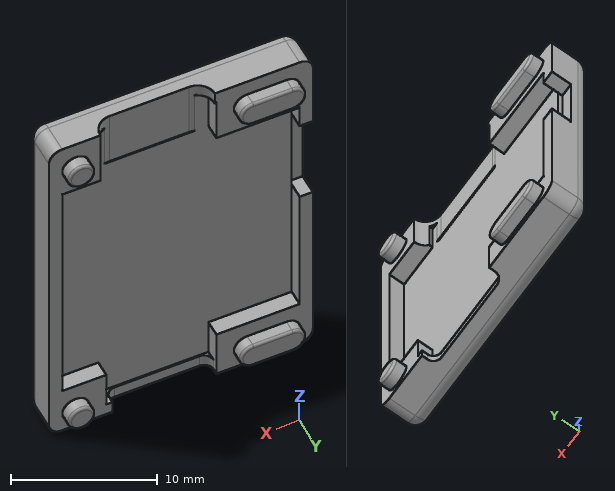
import cadquery as cq

WIDTH = 20.0
HEIGHT = 28.95
BODY_DEPTH = 3.18
EDGE_RADIUS = 1.0

WALL = 1.0
POCKET_DEPTH = 1.25

PEG_DIAMETER = 2.0
PEG_HEIGHT = 1.0
PEG_TIP_ROUND = 0.2
LONG_PEG_LENGTH = 4.98
PEG_EDGE_GAP = 1.0
UPPER_PEG_Z = 12.15
LOWER_PEG_Z = -12.73
POST_MARGIN = 1.33

CONNECTOR_X = 1.77
CONNECTOR_WIDTH = 8.65
CONNECTOR_DEPTH = 1.3

BOTTOM_OPENING_RIGHT = 5.18
BOTTOM_OPENING_DEPTH = 1.15
BOTTOM_OPENING_ROUND = 0.7

SIDE_OPENING_Z_MIN = 0.65
SIDE_OPENING_Z_MAX = 7.9
SIDE_OPENING_DEPTH = 1.6

HALF_WIDTH = WIDTH / 2
HALF_HEIGHT = HEIGHT / 2
LONG_PEG_X = (-HALF_WIDTH + PEG_EDGE_GAP, -HALF_WIDTH + PEG_EDGE_GAP + LONG_PEG_LENGTH)
ROUND_PEG_X = (HALF_WIDTH - PEG_EDGE_GAP - PEG_DIAMETER, HALF_WIDTH - PEG_EDGE_GAP)
LEFT_POST_X = LONG_PEG_X[1] + POST_MARGIN
RIGHT_POST_X = ROUND_PEG_X[0] - POST_MARGIN
LOWER_POST_Z = LOWER_PEG_Z + PEG_DIAMETER / 2 + POST_MARGIN
UPPER_POST_Z = UPPER_PEG_Z - PEG_DIAMETER / 2 - POST_MARGIN


def box_between(x_range, y_range, z_range):
    """Box spanning the given ranges along X, Y and Z."""
    sizes = [high - low for low, high in (x_range, y_range, z_range)]
    corner = (x_range[0], y_range[0], z_range[0])
    return cq.Workplane("XY").box(*sizes, centered=False).translate(corner)


def make_body():
    """Rounded slab with its flat rim at Y = 0."""
    slab = box_between(
        (-HALF_WIDTH, HALF_WIDTH), (-BODY_DEPTH, 0), (-HALF_HEIGHT, HALF_HEIGHT)
    )
    return slab.edges("|Y").fillet(EDGE_RADIUS).faces("<Y").edges().fillet(EDGE_RADIUS)


def make_pocket():
    """Pocket inside the walls that leaves a solid post at every corner."""
    depth_range = (-POCKET_DEPTH, 0)
    inner_x = HALF_WIDTH - WALL
    inner_z = HALF_HEIGHT - WALL
    between_left_and_right = box_between(
        (LEFT_POST_X, RIGHT_POST_X), depth_range, (-inner_z, inner_z)
    )
    between_top_and_bottom = box_between(
        (-inner_x, inner_x), depth_range, (LOWER_POST_Z, UPPER_POST_Z)
    )
    return between_left_and_right.union(between_top_and_bottom)


def make_connector_opening():
    """Stadium through the +Z wall and past the upper posts, with its centre on the rim plane."""
    return (
        cq.Workplane("XY", origin=(CONNECTOR_X, 0, UPPER_POST_Z))
        .slot2D(CONNECTOR_WIDTH, 2 * CONNECTOR_DEPTH)
        .extrude(HALF_HEIGHT - UPPER_POST_Z)
    )


def make_bottom_opening():
    """Opening through the -Z wall with rounded lower corners."""
    opening = box_between(
        (LEFT_POST_X, BOTTOM_OPENING_RIGHT),
        (-BOTTOM_OPENING_DEPTH, 0),
        (-HALF_HEIGHT, -HALF_HEIGHT + WALL),
    )
    return opening.faces("<Y").edges("|Z").fillet(BOTTOM_OPENING_ROUND)


def make_side_opening():
    """Square-cornered opening through the -X wall."""
    return box_between(
        (-HALF_WIDTH, -HALF_WIDTH + WALL),
        (-SIDE_OPENING_DEPTH, 0),
        (SIDE_OPENING_Z_MIN, SIDE_OPENING_Z_MAX),
    )


def make_peg(outline, x_range, z_centre):
    """Peg with the given outline and a rounded tip, standing on the rim."""
    peg = outline.extrude(-PEG_HEIGHT).faces(">Y").edges().fillet(PEG_TIP_ROUND)
    return peg.translate((sum(x_range) / 2, 0, z_centre))


result = make_body().cut(make_pocket())
for opening in (make_connector_opening(), make_bottom_opening(), make_side_opening()):
    result = result.cut(opening)
for peg_z in (LOWER_PEG_Z, UPPER_PEG_Z):
    long_outline = cq.Workplane("XZ").slot2D(LONG_PEG_LENGTH, PEG_DIAMETER)
    round_outline = cq.Workplane("XZ").circle(PEG_DIAMETER / 2)
    result = result.union(make_peg(long_outline, LONG_PEG_X, peg_z))
    result = result.union(make_peg(round_outline, ROUND_PEG_X, peg_z))